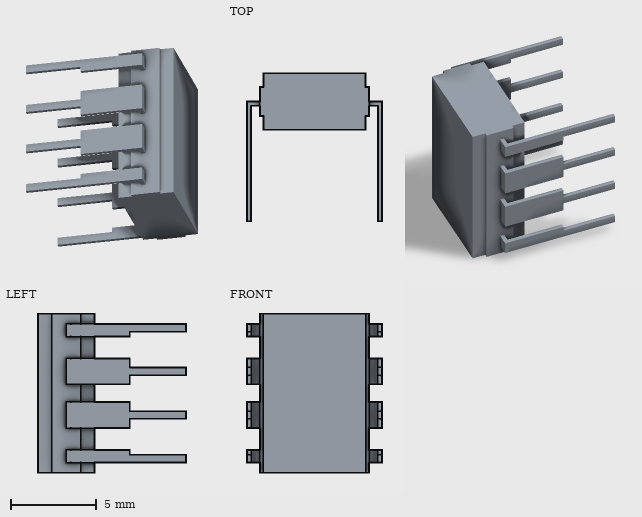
import cadquery as cq

body_width = 5.95
body_depth = 3.3
body_height = 9.27
flange_width = 6.35
flange_depth = 1.7

lead_span = 7.87
lead_thickness = 0.25
lead_pitch = 2.54
lead_length = 6.98
shoulder_length = 3.7
shoulder_width = 1.52
end_shoulder_width = 0.74
tip_width = 0.46

bend_y = 0.0
inner_lead_z = lead_pitch / 2
end_lead_z = inner_lead_z + lead_pitch
end_lead_outer_z = end_lead_z + tip_width / 2


def box_between(x_range, y_range, z_range):
    """Box spanning the given (low, high) limits along each axis."""
    limits = (x_range, y_range, z_range)
    size_x, size_y, size_z = [high - low for low, high in limits]
    corner = tuple(low for low, _ in limits)
    return cq.Workplane("XY").box(size_x, size_y, size_z, centered=False).translate(corner)


def make_body():
    """Rectangular block with a raised band along each side."""
    core = cq.Workplane("XY").box(body_width, body_depth, body_height)
    band = cq.Workplane("XY").box(flange_width, flange_depth, body_height)
    return core.union(band)


def make_lead(shoulder_z, tip_z):
    """Bent lead on the +X side: arm, wide shoulder and narrow tip."""
    outer_x = lead_span / 2
    blade_x = (outer_x - lead_thickness, outer_x)
    arm_x = (body_width / 2, outer_x)
    arm = box_between(arm_x, (bend_y - lead_thickness, bend_y), shoulder_z)
    shoulder = box_between(blade_x, (bend_y - shoulder_length, bend_y), shoulder_z)
    tip = box_between(blade_x, (bend_y - lead_length, bend_y), tip_z)
    return arm.union(shoulder).union(tip)


def make_inner_lead():
    """Upper inner lead, with its shoulder centred on the tip."""
    shoulder_z = (inner_lead_z - shoulder_width / 2, inner_lead_z + shoulder_width / 2)
    tip_z = (inner_lead_z - tip_width / 2, inner_lead_z + tip_width / 2)
    return make_lead(shoulder_z, tip_z)


def make_end_lead():
    """Top lead, whose shoulder widens only towards the middle of the body."""
    shoulder_z = (end_lead_outer_z - end_shoulder_width, end_lead_outer_z)
    tip_z = (end_lead_outer_z - tip_width, end_lead_outer_z)
    return make_lead(shoulder_z, tip_z)


result = make_body()
for lead in (make_inner_lead(), make_end_lead()):
    lead_pair = lead.union(lead.mirror("XY"))
    result = result.union(lead_pair).union(lead_pair.mirror("YZ"))